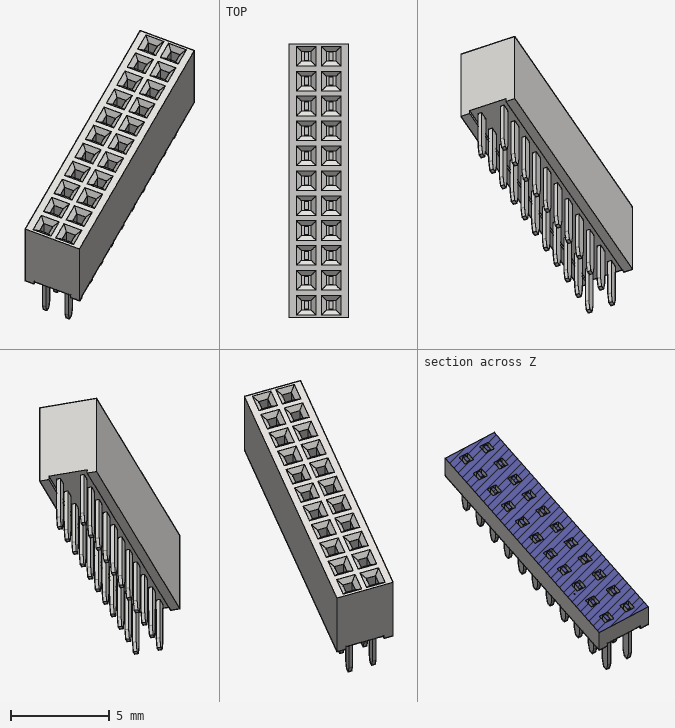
import cadquery as cq

PITCH = 1.27
COLUMNS = 2
ROWS = 11

BODY_WIDTH = 3.05
BODY_LENGTH = ROWS * PITCH
BODY_HEIGHT = 4.4
STANDOFF_WIDTH = 0.5
STANDOFF_HEIGHT = 0.2

MOUTH_SIZE = 1.0
BORE_SIZE = 0.5
LEAD_IN_DEPTH = 0.25
BORE_DEPTH = 3.5

PIN_THICKNESS = 0.2
PIN_WIDTH = 0.5
PIN_PROJECTION = 2.6
TIP_LENGTH = 0.5
TIP_WIDTH = 0.25
BLADE_WIDTH = 0.41
BLADE_TOP_DEPTH = 2.5

GRID = [
    ((column - (COLUMNS - 1) / 2) * PITCH, (row - (ROWS - 1) / 2) * PITCH)
    for column in range(COLUMNS)
    for row in range(ROWS)
]


def make_housing():
    """Rectangular block with a channel along Y that leaves a standoff rail on each side."""
    block = cq.Workplane("XY").box(BODY_WIDTH, BODY_LENGTH, BODY_HEIGHT, centered=(True, True, False))
    channel_width = BODY_WIDTH - 2 * STANDOFF_WIDTH
    channel = cq.Workplane("XY").box(channel_width, BODY_LENGTH, STANDOFF_HEIGHT, centered=(True, True, False))
    return block.cut(channel)


def make_socket():
    """Square bore with a tapered lead-in, centred on the Z axis and open at the housing top."""
    lead_in = (
        cq.Workplane("XY", origin=(0, 0, BODY_HEIGHT))
        .rect(MOUTH_SIZE, MOUTH_SIZE)
        .workplane(offset=-LEAD_IN_DEPTH)
        .rect(BORE_SIZE, BORE_SIZE)
        .loft(ruled=True)
    )
    bore = cq.Workplane("XY", origin=(0, 0, BODY_HEIGHT - BORE_DEPTH)).box(
        BORE_SIZE, BORE_SIZE, BORE_DEPTH - LEAD_IN_DEPTH, centered=(True, True, False)
    )
    return lead_in.union(bore)


def make_contact():
    """Flat contact: a blade inside the socket bore and a wider tail with a tapered tip below it."""
    blade_top = BODY_HEIGHT - BLADE_TOP_DEPTH
    bore_floor = BODY_HEIGHT - BORE_DEPTH
    tip = -PIN_PROJECTION
    shoulder = tip + TIP_LENGTH
    outline = [
        (-BLADE_WIDTH / 2, blade_top),
        (-BLADE_WIDTH / 2, bore_floor),
        (-PIN_WIDTH / 2, bore_floor),
        (-PIN_WIDTH / 2, shoulder),
        (-TIP_WIDTH / 2, tip),
        (TIP_WIDTH / 2, tip),
        (PIN_WIDTH / 2, shoulder),
        (PIN_WIDTH / 2, bore_floor),
        (BLADE_WIDTH / 2, bore_floor),
        (BLADE_WIDTH / 2, blade_top),
    ]
    return cq.Workplane("YZ").polyline(outline).close().extrude(PIN_THICKNESS / 2, both=True)


def at_grid(shape):
    """Compound of copies of the shape, one at every contact position."""
    return cq.Compound.makeCompound([shape.val().translate(cq.Vector(x, y, 0)) for x, y in GRID])


sockets = at_grid(make_socket())
contacts = at_grid(make_contact())
result = make_housing().cut(cq.Workplane(sockets)).union(cq.Workplane(contacts))